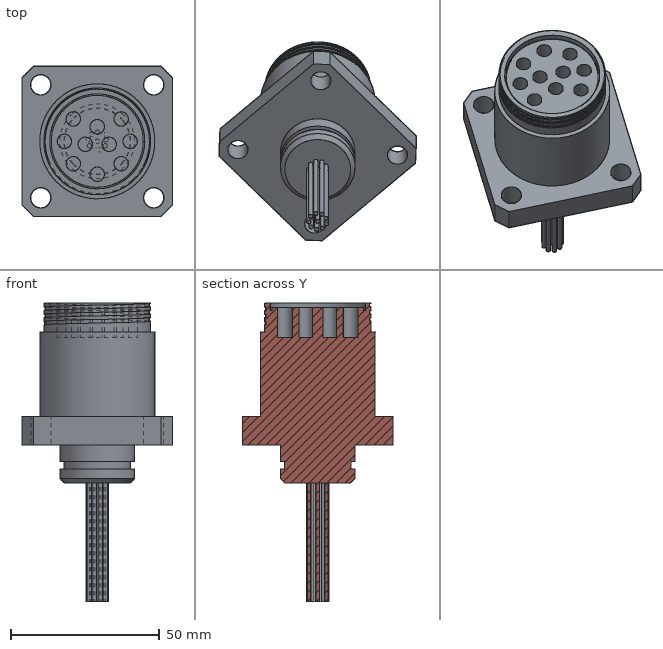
import cadquery as cq
import math

flange_side = 50.8
flange_thickness = 9.7
flange_chamfer = 3.9
mount_hole_diameter = 6.7
mount_hole_offset = 19.0

body_diameter = 38.8
body_height = 28.5
collar_diameter = 36.0
collar_height = 9.8

thread_pitch = 2.4
thread_groove_width = thread_pitch / 2
thread_depth = 0.4
thread_start_height = 2.9
thread_start_angle = 171

socket_diameter = 32.0
insert_diameter = 31.0
socket_depth = 1.5
insert_gap_depth = 1.0
contact_hole_diameter = 4.8
contact_hole_depth = 10.1
contact_ring_radius = 11.1
corner_contact_x = 8.1
corner_contact_y = 7.6
top_contact_y = 4.9
center_contact_x = 4.0
center_contact_y = -1.0

gland_diameter = 25.2
gland_neck_diameter = 22.5
gland_shoulder_height = 5.5
gland_neck_height = 2.4
gland_ring_height = 4.8
gland_chamfer_height = 1.5

wire_diameter = 1.5
wire_length = 40.0
ring_wire_count = 9
wire_ring_radius = 3.0

body_top = flange_thickness + body_height
collar_top = body_top + collar_height
socket_floor = collar_top - socket_depth
gland_bottom = -(gland_shoulder_height + gland_neck_height + gland_ring_height)


def cylinder(diameter, bottom, top):
    """Upright cylinder on the part's axis."""
    return cq.Workplane("XY").workplane(offset=bottom).circle(diameter / 2).extrude(top - bottom)


def make_flange():
    corner_holes = [(x, y) for x in (-mount_hole_offset, mount_hole_offset)
                    for y in (-mount_hole_offset, mount_hole_offset)]
    plate = (
        cq.Workplane("XY")
        .rect(flange_side, flange_side)
        .extrude(flange_thickness)
        .edges("|Z")
        .chamfer(flange_chamfer)
    )
    holes = cq.Workplane("XY").pushPoints(corner_holes).circle(mount_hole_diameter / 2).extrude(flange_thickness)
    return plate.cut(holes)


def make_thread_groove():
    """Right-hand helical groove of rectangular section that runs out through the collar's top.

    Its four sides are ruled faces between the helices of the section's corners.
    """
    helix_bottom = body_top + thread_start_height
    helix_height = collar_top + thread_groove_width - helix_bottom
    inner_radius = collar_diameter / 2 - thread_depth
    outer_radius = collar_diameter / 2 + thread_depth
    half_width = thread_groove_width / 2
    section_corners = [
        (inner_radius, -half_width),
        (outer_radius, -half_width),
        (outer_radius, half_width),
        (inner_radius, half_width),
    ]
    helices = [
        cq.Wire.makeHelix(thread_pitch, helix_height, radius, center=cq.Vector(0, 0, helix_bottom + height))
        for radius, height in section_corners
    ]
    sides = [
        cq.Face.makeRuledSurface(helix, next_helix)
        for helix, next_helix in zip(helices, helices[1:] + helices[:1])
    ]
    ends = [
        cq.Face.makeFromWires(cq.Wire.makePolygon([helix.positionAt(end) for helix in helices], close=True))
        for end in (0, 1)
    ]
    groove = cq.Solid.makeSolid(cq.Shell.makeShell(sides + ends))
    return cq.Workplane(obj=groove).rotate((0, 0, 0), (0, 0, 1), thread_start_angle)


def make_socket():
    """Open socket with a narrow ring gap around the insert."""
    socket = cylinder(socket_diameter, socket_floor - insert_gap_depth, collar_top)
    insert = cylinder(insert_diameter, socket_floor - insert_gap_depth, socket_floor)
    return socket.cut(insert)


def make_contact_holes():
    centers = [
        (0, top_contact_y),
        (0, -contact_ring_radius),
    ]
    for side in (-1, 1):
        centers += [
            (side * center_contact_x, center_contact_y),
            (side * contact_ring_radius, 0),
            (side * corner_contact_x, corner_contact_y),
            (side * corner_contact_x, -corner_contact_y),
        ]
    return (
        cq.Workplane("XY")
        .workplane(offset=socket_floor)
        .pushPoints(centers)
        .circle(contact_hole_diameter / 2)
        .extrude(-contact_hole_depth)
    )


def make_gland():
    neck_top = -gland_shoulder_height
    neck_bottom = neck_top - gland_neck_height
    shoulder = cylinder(gland_diameter, neck_top, 0)
    neck = cylinder(gland_neck_diameter, neck_bottom, neck_top)
    ring = cylinder(gland_diameter, gland_bottom, neck_bottom).faces("<Z").chamfer(gland_chamfer_height)
    return shoulder.union(neck).union(ring)


def make_wires():
    centers = [(0, 0)]
    for i in range(ring_wire_count):
        angle = math.pi / 2 + 2 * math.pi * i / ring_wire_count
        centers.append((wire_ring_radius * math.cos(angle), wire_ring_radius * math.sin(angle)))
    return (
        cq.Workplane("XY")
        .workplane(offset=gland_bottom)
        .pushPoints(centers)
        .circle(wire_diameter / 2)
        .extrude(-wire_length)
    )


collar = cylinder(collar_diameter, body_top, collar_top).cut(make_thread_groove())
body = cylinder(body_diameter, flange_thickness, body_top)

result = (
    make_flange()
    .union(body)
    .union(collar)
    .cut(make_socket())
    .cut(make_contact_holes())
    .union(make_gland())
    .union(make_wires())
)